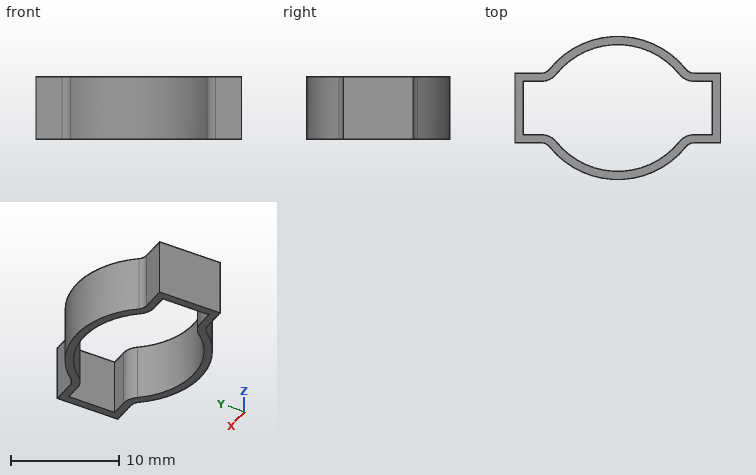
import cadquery as cq
import math

length = 19.0
width = 13.25
height = 5.8
end_width = 6.46
wall = 0.78

bow_radius = 8.05
blend_radius = 1.0

bow_center_y = width / 2 - bow_radius
blend_center_y = end_width / 2 + blend_radius
blend_rise = blend_center_y - bow_center_y
blend_center_x = math.sqrt((bow_radius + blend_radius) ** 2 - blend_rise ** 2)
bow_half_angle = math.atan2(blend_center_x, blend_rise)


def band_prism(inset):
    """Solid bounded by the outer outline moved inward by inset."""
    half_length = length / 2 - inset
    end_y = end_width / 2 - inset
    crown_y = width / 2 - inset
    bow_r = bow_radius - inset
    blend_r = blend_radius + inset

    tangent_x = bow_r * math.sin(bow_half_angle)
    tangent_y = bow_center_y + bow_r * math.cos(bow_half_angle)
    middle_x = blend_center_x - blend_r * math.sin(bow_half_angle / 2)
    middle_y = blend_center_y - blend_r * math.cos(bow_half_angle / 2)

    outline = cq.Workplane("XY").moveTo(-half_length, end_y)
    for side in (1, -1):
        outline = (
            outline.lineTo(-side * blend_center_x, side * end_y)
            .threePointArc((-side * middle_x, side * middle_y), (-side * tangent_x, side * tangent_y))
            .threePointArc((0, side * crown_y), (side * tangent_x, side * tangent_y))
            .threePointArc((side * middle_x, side * middle_y), (side * blend_center_x, side * end_y))
            .lineTo(side * half_length, side * end_y)
            .lineTo(side * half_length, -side * end_y)
        )
    return outline.close().extrude(height)


result = band_prism(0).cut(band_prism(wall))